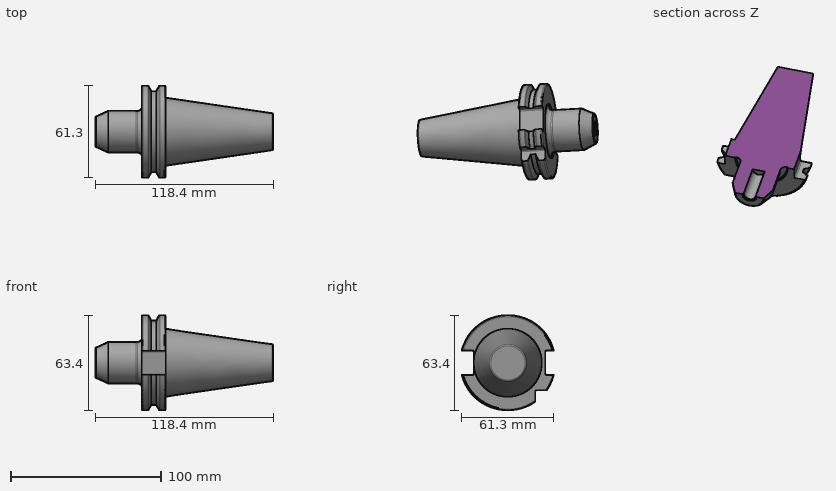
import cadquery as cq
import math

nose_cone_end = 8.6
relief_start = 26.9
relief_end = 28.0
flange_front = 30.8
flange_back = 46.8
total_length = 118.4

nose_radius = 28.0 / 2
relief_radius = 27.8 / 2
nose_cone_angle = 25.0
nose_edge_length = 0.5
nose_edge_height = 0.6
nose_tip_radius = nose_radius - (nose_cone_end - nose_edge_length) * math.tan(math.radians(nose_cone_angle))

root_fillet = 3.5
undercut_radius = 18.2

flange_radius = 31.7
flange_rim_fillet = 1.0
groove_radius = 28.2
groove_floor_start = 37.3
groove_floor_end = 40.5
groove_angle = 30.0
groove_edge_fillet = 0.5
groove_run = (flange_radius - groove_radius) * math.tan(math.radians(groove_angle))

taper_ratio = 7 / 24
taper_radius = 22.7
taper_end_radius = taper_radius - (total_length - flange_back) * taper_ratio / 2
taper_end_fillet = 1.0

slot_width = 16.1
slot_floor_front = 22.6
slot_floor_back = 25.1
slot_corner_radius = 0.8
notch_y = 18.4
notch_z = 18.5
notch_corner_radius = 0.6
bore_radius = 8.0 / 2
bore_depth = 23.7
bore_chamfer = 0.8


def round_flange_rims(body, stations, radius):
    """Fillet the full-diameter flange edges at the given X stations."""
    tolerance = 0.01
    rims = [
        edge
        for edge in body.edges("%CIRCLE").vals()
        if abs(edge.radius() - flange_radius) < tolerance
        and any(abs(edge.Center().x - x) < tolerance for x in stations)
    ]
    return body.newObject(rims).fillet(radius)


def make_body():
    """Revolve the half section of nose, flange and taper about X."""
    undercut_floor = relief_end + root_fillet
    diagonal = root_fillet * math.sqrt(0.5)
    fillet_mid = (relief_end + diagonal, relief_radius + root_fillet - diagonal)
    profile = (
        cq.Workplane("XY")
        .moveTo(0, 0)
        .lineTo(0, nose_tip_radius - nose_edge_height)
        .lineTo(nose_edge_length, nose_tip_radius)
        .lineTo(nose_cone_end, nose_radius)
        .lineTo(relief_start, nose_radius)
        .lineTo(relief_end, relief_radius)
        .threePointArc(fillet_mid, (undercut_floor, relief_radius + root_fillet))
        .lineTo(flange_front, undercut_radius)
        .lineTo(flange_front, flange_radius)
        .lineTo(groove_floor_start - groove_run, flange_radius)
        .lineTo(groove_floor_start, groove_radius)
        .lineTo(groove_floor_end, groove_radius)
        .lineTo(groove_floor_end + groove_run, flange_radius)
        .lineTo(flange_back, flange_radius)
        .lineTo(flange_back, taper_radius)
        .lineTo(total_length, taper_end_radius)
        .lineTo(total_length, 0)
        .close()
    )
    body = profile.revolve(360, (0, 0, 0), (1, 0, 0))
    body = round_flange_rims(body, (flange_front, flange_back), flange_rim_fillet)
    groove_mouth = (groove_floor_start - groove_run, groove_floor_end + groove_run)
    body = round_flange_rims(body, groove_mouth, groove_edge_fillet)
    return body.faces(">X").edges().fillet(taper_end_fillet)


def flange_cutter(y_inner, y_size, z_center, z_size, corner_radius, corners):
    """Box through the flange along X, rounded at its inner corners."""
    side = math.copysign(1, y_inner)
    return (
        cq.Workplane("XY")
        .box(flange_back - flange_front, y_size, z_size)
        .edges(corners)
        .fillet(corner_radius)
        .translate(((flange_front + flange_back) / 2, y_inner + side * y_size / 2, z_center))
    )


def make_bore():
    """Blind hole in the nose face with a chamfered mouth."""
    return (
        cq.Workplane("XY")
        .moveTo(0, 0)
        .lineTo(0, bore_radius + bore_chamfer)
        .lineTo(bore_chamfer, bore_radius)
        .lineTo(bore_depth, bore_radius)
        .lineTo(bore_depth, 0)
        .close()
        .revolve(360, (0, 0, 0), (1, 0, 0))
    )


front_slot = flange_cutter(-slot_floor_front, flange_radius, 0, slot_width, slot_corner_radius, "|X and >Y")
back_slot = flange_cutter(slot_floor_back, flange_radius, 0, slot_width, slot_corner_radius, "|X and <Y")
notch = flange_cutter(
    notch_y,
    flange_radius,
    -notch_z - flange_radius / 2,
    flange_radius,
    notch_corner_radius,
    "(|X and <Y) and >Z",
)

result = make_body().cut(front_slot).cut(back_slot).cut(notch).cut(make_bore())